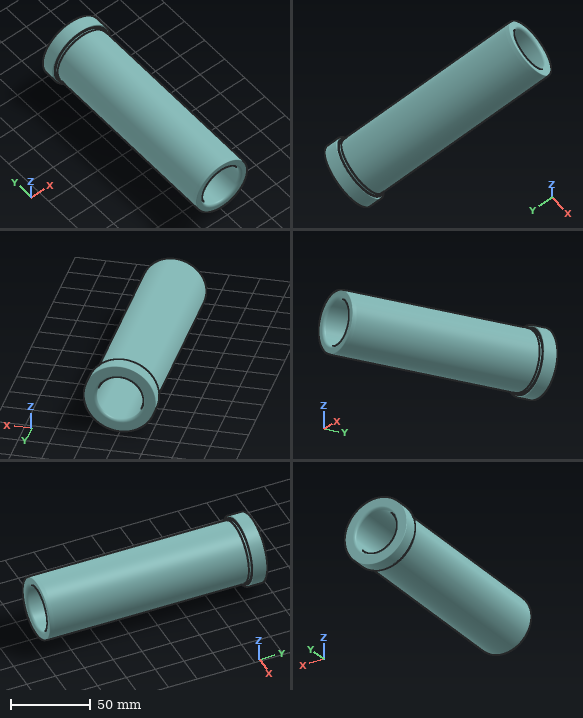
import cadquery as cq

length = 150.0
head_diameter = 47.0
head_length = 10.0
head_edge_radius = 0.5
body_diameter = 42.0
bore_diameter = 30.0
bore_mouth_radius = 2.0

neck_diameter = 41.1
neck_length = 2.0
neck_ramp = 0.5
shoulder_relief_diameter = 43.8
shoulder_relief_depth = 0.3

lead_diameter = 41.7
lead_length = 3.0
lead_edge_radius = 0.5

body_radius = body_diameter / 2
neck_radius = neck_diameter / 2
lead_radius = lead_diameter / 2
relief_radius = shoulder_relief_diameter / 2

free_end = -length / 2
head_end = length / 2
shoulder = head_end - head_length
relief_floor = shoulder + shoulder_relief_depth
lead_start = free_end + lead_length
neck_start = shoulder - neck_length


def revolve_profile(points):
    """Turn a closed half profile of (radius, Y) points about the Y axis."""
    return cq.Workplane("XY").polyline(points).close().revolve(360, (0, 0, 0), (0, 1, 0))


def make_head():
    """Disc with rounded rims and a shallow relief in its shoulder face."""
    disc = cq.Workplane("XZ", origin=(0, head_end, 0)).circle(head_diameter / 2).extrude(head_length)
    disc = disc.edges().fillet(head_edge_radius)
    relief = revolve_profile([
        (0, shoulder),
        (relief_radius, shoulder),
        (relief_radius - shoulder_relief_depth, relief_floor),
        (0, relief_floor),
    ])
    return disc.cut(relief)


def make_body():
    """Solid shank with a tapered lead-in, a rounded end and a relief neck."""
    shank = revolve_profile([
        (0, free_end),
        (lead_radius, free_end),
        (body_radius, lead_start),
        (body_radius, neck_start),
        (neck_radius, neck_start + neck_ramp),
        (neck_radius, relief_floor),
        (0, relief_floor),
    ])
    return shank.faces("<Y").edges().fillet(lead_edge_radius)


def cut_bore(blank):
    """Cut the through bore and round its mouth at both ends."""
    bore = cq.Workplane("XZ", origin=(0, head_end, 0)).circle(bore_diameter / 2).extrude(length)
    bored = blank.cut(bore)
    mouths = bored.faces("<Y or >Y").edges(cq.selectors.RadiusNthSelector(0))
    return mouths.fillet(bore_mouth_radius)


result = cut_bore(make_head().union(make_body()))